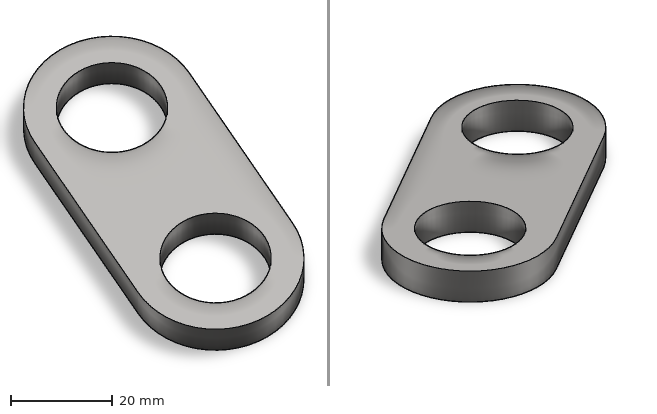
import cadquery as cq

length = 77.3
width = 35.0
thickness = 7.0
hole_diameter = 22.0

hole_spacing = length - width

plate = cq.Workplane("XY").slot2D(length, width).extrude(thickness)

result = (
    plate.faces(">Z")
    .workplane(origin=(0, 0, thickness))
    .rarray(hole_spacing, 0.8, 2, 1)
    .hole(hole_diameter)
)